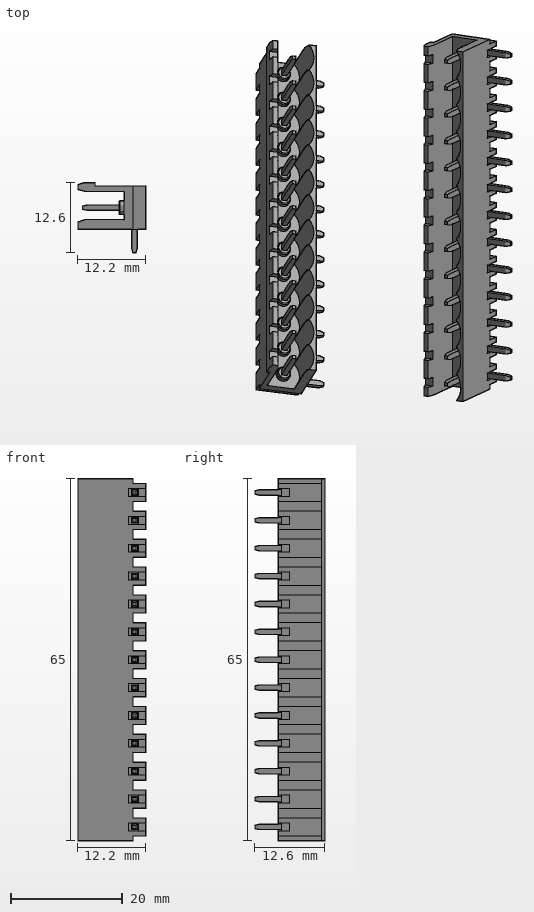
import cadquery as cq

pole_count = 13
pitch = 5.0
length = pole_count * pitch
pole_heights = [(index + 0.5) * pitch for index in range(pole_count)]

depth = 12.2
base_front = 8.3
base_back = 9.9
back_outer = 7.8
back_inner = 6.8
front_inner = 1.85
lead_in_length = 1.35
lead_in_rise = 0.35

latch_top = 8.4
latch_length = 3.1
latch_ramp_length = 1.1
latch_rise = 0.35
latch_notch_width = 1.6
latch_notch_depth = 1.2

scallop_radius = 3.6
scallop_floor = 0.8

tooth_width = 3.3

recess_start = 9.05
recess_width = 1.4
recess_depth = 0.6

channel_start = 10.85
channel_depth = 2.0

pin_size = 1.0
contact_y = 3.9
contact_tip = 0.8
contact_taper = 0.95
solder_x = 10.15
solder_tip = -4.2
solder_taper = 0.8
pin_tip_size = 0.6

collar_diameter = 2.5
collar_height = 0.95
collar_chamfer = 0.2


def box(x_range, y_range, z_range):
    """Axis-aligned block spanning the given ranges."""
    size = [high - low for low, high in (x_range, y_range, z_range)]
    corner = (x_range[0], y_range[0], z_range[0])
    return cq.Workplane("XY").box(*size, centered=False).translate(corner)


def make_housing():
    """U-shaped channel with the latch bead and lead-in slopes, open at both ends."""
    outline = [
        (0, 0),
        (depth, 0),
        (depth, back_outer),
        (latch_length, back_outer),
        (latch_length, latch_top),
        (latch_ramp_length, latch_top),
        (0, latch_top - latch_rise),
        (0, back_inner + lead_in_rise),
        (lead_in_length, back_inner),
        (base_front, back_inner),
        (base_front, front_inner),
        (lead_in_length, front_inner),
        (0, front_inner - lead_in_rise),
    ]
    return cq.Workplane("XY").polyline(outline).close().extrude(length)


def make_scallop(z):
    """Round relief for one pole, flared towards the rim and kept clear of the back wall."""
    axis_y = scallop_floor + scallop_radius
    rim_radius = scallop_radius + lead_in_rise
    straight_length = base_front - lead_in_length
    flare = cq.Solid.makeCone(
        rim_radius, scallop_radius, lead_in_length, cq.Vector(0, axis_y, z), cq.Vector(1, 0, 0)
    )
    barrel = cq.Solid.makeCylinder(
        scallop_radius, straight_length, cq.Vector(lead_in_length, axis_y, z), cq.Vector(1, 0, 0)
    )
    half_pitch = pitch / 2
    pole_cell = box((0, base_front), (0, contact_y), (z - half_pitch, z + half_pitch))
    return cq.Workplane(flare.fuse(barrel)).intersect(pole_cell)


def make_comb_gap(z):
    """Gap between two neighbouring teeth, centred on a pole boundary."""
    half_gap = (pitch - tooth_width) / 2
    return box((base_back, depth), (0, back_outer), (z - half_gap, z + half_gap))


def make_latch_notch(z):
    """Notch through the tip of the back wall at one pole."""
    half_width = latch_notch_width / 2
    return box((0, latch_notch_depth), (back_inner, latch_top), (z - half_width, z + half_width))


def make_pin_recess(z):
    """Recess around one solder pin, joined to a deeper channel open towards +X."""
    z_range = (z - recess_width / 2, z + recess_width / 2)
    pocket = box((recess_start, channel_start), (0, recess_depth), z_range)
    channel = box((channel_start, depth), (0, channel_depth), z_range)
    return pocket.union(channel)


def make_pin(straight_length, taper_length):
    """Square pin along +Z from the origin with a tapered tip."""
    shaft = cq.Workplane("XY").rect(pin_size, pin_size).extrude(straight_length)
    tip = (
        cq.Workplane("XY")
        .workplane(offset=straight_length)
        .rect(pin_size, pin_size)
        .workplane(offset=taper_length)
        .rect(pin_tip_size, pin_tip_size)
        .loft()
    )
    return shaft.union(tip)


def make_contact(z):
    """Contact pin towards -X with the collar at its root."""
    straight_length = base_back - contact_tip - contact_taper
    pin = (
        make_pin(straight_length, contact_taper)
        .rotate((0, 0, 0), (0, 1, 0), -90)
        .translate((base_back, contact_y, z))
    )
    collar = (
        cq.Workplane("YZ", origin=(base_front - collar_height, contact_y, z))
        .circle(collar_diameter / 2)
        .extrude(collar_height)
        .faces("<X")
        .chamfer(collar_chamfer)
    )
    return pin.union(collar)


def make_solder_pin(z):
    """Solder pin leaving the front face towards -Y."""
    straight_length = contact_y - solder_tip - solder_taper
    return (
        make_pin(straight_length, solder_taper)
        .rotate((0, 0, 0), (1, 0, 0), 90)
        .translate((solder_x, contact_y, z))
    )


cutters = [make_comb_gap(boundary * pitch) for boundary in range(pole_count + 1)]
pins = []
for height in pole_heights:
    cutters += [make_scallop(height), make_latch_notch(height), make_pin_recess(height)]
    pins += [make_contact(height), make_solder_pin(height)]

housing = make_housing().val().cut(*[cutter.val() for cutter in cutters])
part = housing.fuse(*[pin.val() for pin in pins]).clean()
result = cq.Workplane(part).solids()